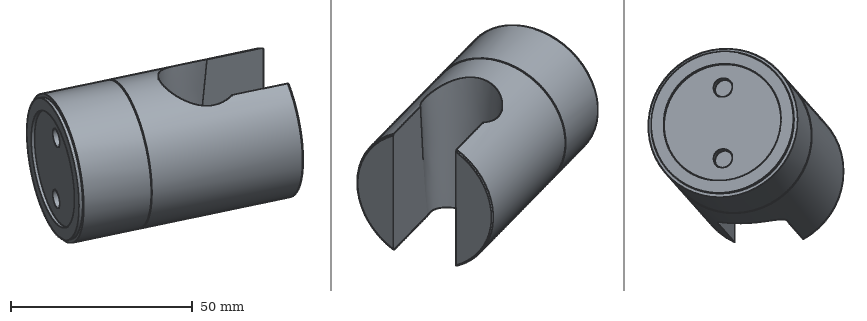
import cadquery as cq

total_length = 66.0
body_radius = 21.0
front_y = -total_length / 2
back_y = total_length / 2

ring_radius = 20.0
ring_projection = 1.05
disc_radius = 16.5
disc_recess = 1.0
screw_hole_radius = 2.65
screw_hole_spacing = 20.0

sleeve_length = 20.0
sleeve_start_y = front_y + ring_projection
joint_y = sleeve_start_y + sleeve_length
insert_depth = 3.5
edge_chamfer = 0.4
joint_chamfer = 0.1

cradle_y = 10.3
cradle_top_radius = 11.4
cradle_bottom_radius = 9.65
slot_width = 2 * cradle_bottom_radius


def cylinder_along_y(radius, start_y, end_y, z=0):
    """Solid cylinder parallel to Y between two Y positions."""
    plane = cq.Plane(origin=(0, start_y, z), xDir=(1, 0, 0), normal=(0, 1, 0))
    return cq.Workplane(plane).circle(radius).extrude(end_y - start_y)


def make_holder():
    """Solid round holder with a tapered cradle and an entry slot."""
    holder = cylinder_along_y(body_radius, joint_y, back_y)
    holder = holder.faces(">Y").chamfer(edge_chamfer).faces("<Y").chamfer(joint_chamfer)
    height = 2 * body_radius
    cradle = cq.Workplane(cq.Solid.makeCone(
        cradle_bottom_radius, cradle_top_radius, height, pnt=cq.Vector(0, cradle_y, -body_radius)
    ))
    slot_length = back_y - cradle_y
    slot = cq.Workplane("XY").box(slot_width, slot_length, height).translate(
        (0, cradle_y + slot_length / 2, 0)
    )
    return holder.cut(cradle).cut(slot)


def make_sleeve():
    """Round base with a front recess that seats the mounting ring."""
    sleeve = cylinder_along_y(body_radius, sleeve_start_y, joint_y)
    sleeve = sleeve.faces(">Y").chamfer(joint_chamfer)
    return sleeve.cut(cylinder_along_y(ring_radius, sleeve_start_y, front_y + insert_depth))


def make_ring():
    """Flat ring standing proud of the sleeve."""
    ring = cylinder_along_y(ring_radius, front_y, front_y + insert_depth)
    return ring.cut(cylinder_along_y(disc_radius, front_y, front_y + insert_depth))


def make_disc():
    """Disc set slightly back inside the ring, with two screw holes."""
    start_y = front_y + disc_recess
    end_y = front_y + insert_depth
    disc = cylinder_along_y(disc_radius, start_y, end_y)
    for side in (-1, 1):
        hole_z = side * screw_hole_spacing / 2
        disc = disc.cut(cylinder_along_y(screw_hole_radius, start_y, end_y, z=hole_z))
    return disc


holder = make_holder()
sleeve = make_sleeve()
ring = make_ring()
disc = make_disc()

result = cq.Compound.makeCompound([holder.val(), sleeve.val(), ring.val(), disc.val()])